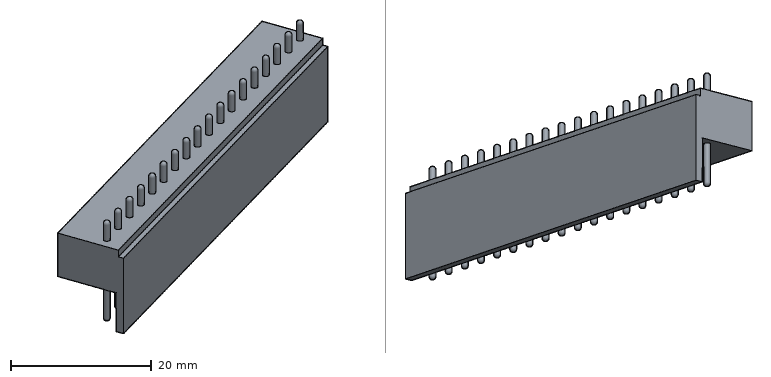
import cadquery as cq
import math

length = 63
depth = 10.6
height = 17.15

block_height = 7.4
wall_thickness = 1.2
step_width = 0.8
step_height = 1.15

pin_count = 18
pin_pitch = length / pin_count
pin_radius = 0.5
pin_x = 7.0
pin_rise = 3.2
pin_tip_gap = 0.2

stud_length = 0.8
stud_lobe_radius = 1.0
stud_lobe_width = 1.3
stud_core_radius = 0.8
stud_drop = 1.1

block_top = height - pin_rise
block_bottom = block_top - block_height
wall_x = depth - wall_thickness


def make_housing():
    """Stepped block and back wall, extruded along Y from one profile."""
    return (
        cq.Workplane("XZ")
        .moveTo(0, block_bottom)
        .lineTo(0, block_top)
        .lineTo(depth - step_width, block_top)
        .lineTo(depth - step_width, block_top - step_height)
        .lineTo(depth, block_top - step_height)
        .lineTo(depth, 0)
        .lineTo(wall_x, 0)
        .lineTo(wall_x, block_bottom)
        .close()
        .extrude(-length)
    )


def make_pin(y):
    """Round pin along Z with a hemispherical tip at both ends, revolved from its half profile."""
    arc_offset = pin_radius * math.sqrt(0.5)
    lower_center = pin_tip_gap + pin_radius
    upper_center = height - pin_radius
    return (
        cq.Workplane("YZ", origin=(pin_x, y, 0))
        .moveTo(0, pin_tip_gap)
        .threePointArc((-arc_offset, lower_center - arc_offset), (-pin_radius, lower_center))
        .lineTo(-pin_radius, upper_center)
        .threePointArc((-arc_offset, upper_center + arc_offset), (0, height))
        .close()
        .revolve(360, (0, 0), (0, 1))
    )


def make_stud(y):
    """Stud along X: a tall disc trimmed to flat sides, with a smaller round core bulging past the flats."""
    base = cq.Workplane("YZ", origin=(wall_x - stud_length, y, block_bottom - stud_drop))
    lobe = base.circle(stud_lobe_radius).extrude(stud_length)
    flats = base.rect(stud_lobe_width, 2 * stud_lobe_radius).extrude(stud_length)
    core = base.circle(stud_core_radius).extrude(stud_length)
    return lobe.intersect(flats).union(core)


result = make_housing()
for index in range(pin_count):
    result = result.union(make_pin((index + 0.5) * pin_pitch))
for stud_y in (pin_pitch, length - pin_pitch):
    result = result.union(make_stud(stud_y))